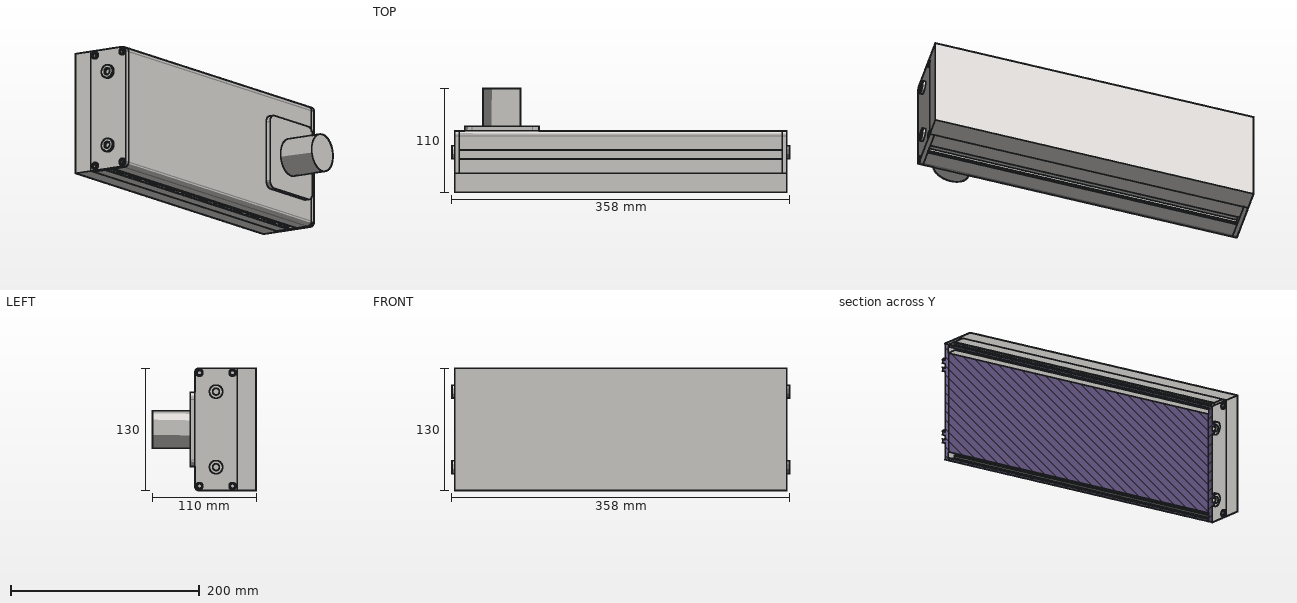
import cadquery as cq

LENGTH = 352.0
HEIGHT = 130.0
PAD_THICKNESS = 20.0
HOUSING_DEPTH = 45.0
END_PLATE_THICKNESS = 5.0
BACK_EDGE_RADIUS = 5.0

SLOT_BACK_OFFSET = 25.0
SLOT_NECK_WIDTH = 9.0
SLOT_MOUTH_CHAMFER = 0.5
SLOT_LIP_THICKNESS = 3.0
SLOT_WIDE_WIDTH = 13.0
SLOT_DEPTH = 9.5

SCREW_INSET = 5.0
SCREW_HEAD_DIAMETER = 7.4
SCREW_HEAD_DEPTH = 1.0
SCREW_HOLE_DIAMETER = 5.0

BOSS_DIAMETER = 14.0
BOSS_HEIGHT = 3.0
BOSS_HOLE_DIAMETER = 7.2
BOSS_SPACING = 80.0

FLANGE_SIZE = 79.0
FLANGE_THICKNESS = 5.0
FLANGE_CORNER_RADIUS = 7.5
PIPE_DIAMETER = 40.0
PIPE_LENGTH = 40.0
PIPE_INSET = 50.0

HOUSING_FRONT = PAD_THICKNESS
HOUSING_BACK = HOUSING_FRONT + HOUSING_DEPTH
MID_DEPTH = HOUSING_FRONT + HOUSING_DEPTH / 2
MID_HEIGHT = HEIGHT / 2
HALF_LENGTH = LENGTH / 2
HOUSING_LENGTH = LENGTH - 2 * END_PLATE_THICKNESS


def back_section(start_x, length):
    """Prism along X with the housing outline and rounded back edges."""
    block = (
        cq.Workplane("XY")
        .box(length, HOUSING_DEPTH, HEIGHT, centered=False)
        .translate((start_x, HOUSING_FRONT, 0))
    )
    return block.edges(">Y and |X").fillet(BACK_EDGE_RADIUS)


def cylinder_x(diameter, start_x, length, y, z):
    """Cylinder along +X."""
    return cq.Workplane("YZ", origin=(start_x, y, z)).circle(diameter / 2).extrude(length)


def make_pad():
    return (
        cq.Workplane("XY")
        .box(LENGTH, PAD_THICKNESS, HEIGHT, centered=False)
        .translate((-HALF_LENGTH, 0, 0))
    )


def make_top_slot():
    """T-slot cutter with a chamfered mouth, opening at the +Z face."""
    half_neck = SLOT_NECK_WIDTH / 2
    half_mouth = half_neck + SLOT_MOUTH_CHAMFER
    half_wide = SLOT_WIDE_WIDTH / 2
    half_outline = [
        (half_mouth, 0),
        (half_neck, -SLOT_MOUTH_CHAMFER),
        (half_neck, -SLOT_LIP_THICKNESS),
        (half_wide, -SLOT_LIP_THICKNESS),
        (half_wide, -SLOT_DEPTH),
    ]
    other_half = [(-y, z) for y, z in reversed(half_outline)]
    slot_middle = HOUSING_BACK - SLOT_BACK_OFFSET
    return (
        cq.Workplane("YZ", origin=(-HOUSING_LENGTH / 2, slot_middle, HEIGHT))
        .polyline(half_outline + other_half)
        .close()
        .extrude(HOUSING_LENGTH)
    )


def make_housing():
    top_slot = make_top_slot()
    bottom_slot = top_slot.mirror("XY", (0, 0, MID_HEIGHT))
    return back_section(-HOUSING_LENGTH / 2, HOUSING_LENGTH).cut(top_slot).cut(bottom_slot)


def make_left_end_plate():
    """End plate at the -X end, with its bosses and screw holes on the outer side."""
    plate = back_section(-HALF_LENGTH, END_PLATE_THICKNESS)
    boss_face = -HALF_LENGTH - BOSS_HEIGHT
    for z in (MID_HEIGHT - BOSS_SPACING / 2, MID_HEIGHT + BOSS_SPACING / 2):
        plate = plate.union(cylinder_x(BOSS_DIAMETER, boss_face, BOSS_HEIGHT, MID_DEPTH, z))
        plate = plate.cut(
            cylinder_x(BOSS_HOLE_DIAMETER, boss_face, BOSS_HEIGHT, MID_DEPTH, z)
        )
    for y in (HOUSING_FRONT + SCREW_INSET, HOUSING_BACK - SCREW_INSET):
        for z in (SCREW_INSET, HEIGHT - SCREW_INSET):
            plate = plate.cut(
                cylinder_x(SCREW_HOLE_DIAMETER, -HALF_LENGTH, END_PLATE_THICKNESS, y, z)
            )
            plate = plate.cut(
                cylinder_x(SCREW_HEAD_DIAMETER, -HALF_LENGTH, SCREW_HEAD_DEPTH, y, z)
            )
    return plate


def make_pipe_connection():
    pipe_x = -HALF_LENGTH + PIPE_INSET
    flange_back = HOUSING_BACK + FLANGE_THICKNESS
    flange = (
        cq.Workplane("XY")
        .box(FLANGE_SIZE, FLANGE_THICKNESS, FLANGE_SIZE)
        .edges("|Y")
        .fillet(FLANGE_CORNER_RADIUS)
        .translate((pipe_x, HOUSING_BACK + FLANGE_THICKNESS / 2, MID_HEIGHT))
    )
    pipe = (
        cq.Workplane("XZ", origin=(pipe_x, flange_back, MID_HEIGHT))
        .circle(PIPE_DIAMETER / 2)
        .extrude(-PIPE_LENGTH)
    )
    return flange.union(pipe)


pad = make_pad()
housing = make_housing()
left_end_plate = make_left_end_plate()
right_end_plate = left_end_plate.mirror("YZ")
pipe_connection = make_pipe_connection()

result = cq.Compound.makeCompound([
    pad.val(),
    housing.val(),
    left_end_plate.val(),
    right_end_plate.val(),
    pipe_connection.val(),
])